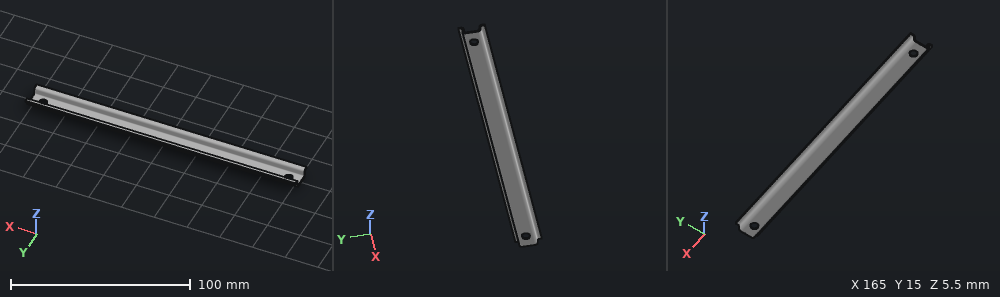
import cadquery as cq

length = 165.0
width = 15.0
height = 5.5
sheet = 1.0
channel_width = 10.5
inner_bend = 0.8
outer_bend = inner_bend + sheet

hole_diameter = 4.5
hole_spacing = 150.0

web_outside = channel_width / 2
web_inside = web_outside - sheet
floor_end = web_outside - outer_bend
flange_start = web_inside + outer_bend
flange_underside = height - sheet


def make_half_rail():
    """Extrude the half section on the +Y side, with concentric bends in the sheet."""
    return (
        cq.Workplane("YZ")
        .moveTo(0, 0)
        .lineTo(floor_end, 0)
        .radiusArc((web_outside, outer_bend), -outer_bend)
        .lineTo(web_outside, flange_underside - inner_bend)
        .radiusArc((flange_start, flange_underside), inner_bend)
        .lineTo(width / 2, flange_underside)
        .lineTo(width / 2, height)
        .lineTo(flange_start, height)
        .radiusArc((web_inside, height - outer_bend), -outer_bend)
        .lineTo(web_inside, outer_bend)
        .radiusArc((floor_end, sheet), inner_bend)
        .lineTo(0, sheet)
        .close()
        .extrude(length / 2, both=True)
    )


def make_hole_cutters():
    """Cylinders through the floor, one near each end."""
    return (
        cq.Workplane("XY")
        .pushPoints([(-hole_spacing / 2, 0), (hole_spacing / 2, 0)])
        .circle(hole_diameter / 2)
        .extrude(sheet)
    )


half_rail = make_half_rail()
rail = half_rail.union(half_rail.mirror("XZ")).clean()
result = rail.cut(make_hole_cutters())